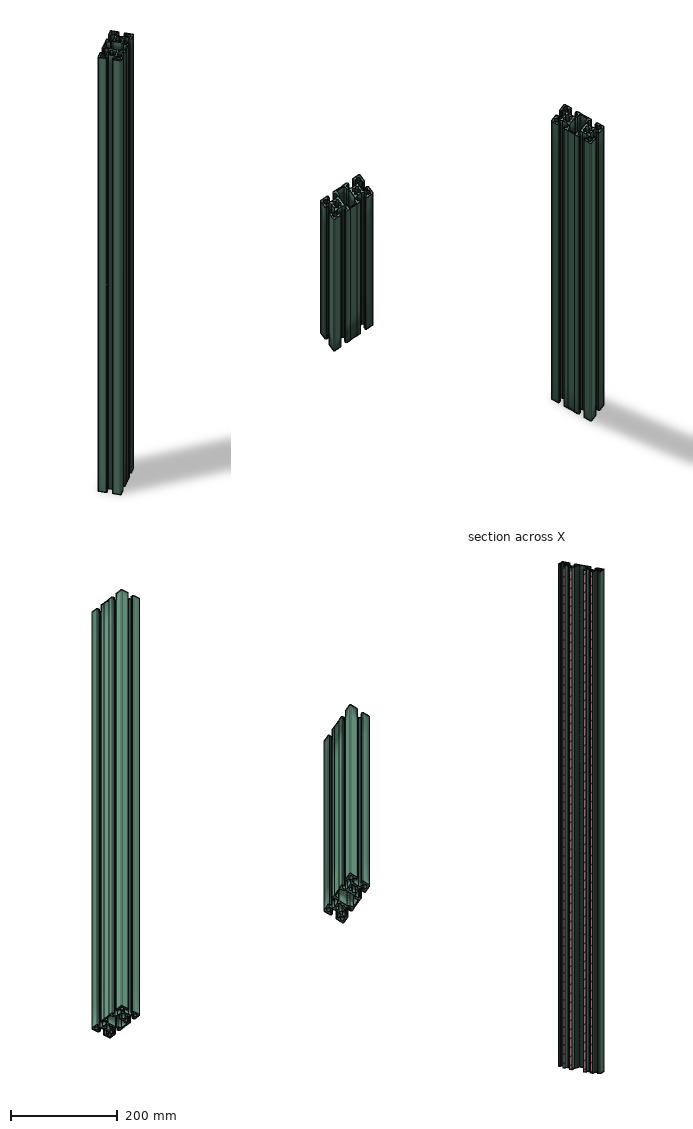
import cadquery as cq


length = 1000.0
width = 45.0
depth = 2 * width
corner_radius = 2.0
half_width = width / 2
half_depth = depth / 2
cell_offset = width / 2

mouth_half = 5.3
mouth_radius = 2.0
lip_hook_depth = 5.5
hook_base_half = 6.5
hook_base_depth = 3.0
undercut_half = 10.0
undercut_start = 4.5
undercut_end = 11.0
floor_half = 5.0
slot_depth = 13.0

recess_half = 7.5
recess_depth = 0.3

hollow_side = 7.0
hollow_radius = 2.0
hollow_inset = 6.8

bore_radius = 4.7
lobe_radius = 3.0
lobe_distance = 4.9
lobe_count = 4
first_lobe_angle = 45

cavity_corners = [(20.0, 8.0), (13.0, 9.0), (9.0, 12.0)]


def slot_cutter():
    """Slot cut into a face lying on y = 0, reaching toward -Y."""
    right_side = [
        (mouth_half, -lip_hook_depth),
        (hook_base_half, -hook_base_depth),
        (undercut_half, -undercut_start),
        (undercut_half, -undercut_end),
        (floor_half, -slot_depth),
    ]
    left_side = [(-x, y) for x, y in reversed(right_side)]
    rounding_end = mouth_half + mouth_radius
    return (
        cq.Workplane("XY")
        .moveTo(rounding_end, 0)
        .radiusArc((mouth_half, -mouth_radius), -mouth_radius)
        .polyline(right_side + left_side, includeCurrent=True)
        .lineTo(-mouth_half, -mouth_radius)
        .radiusArc((-rounding_end, 0), -mouth_radius)
        .close()
        .extrude(length)
    )


def place(cutter, angle, x, y):
    """Turn a cutter about Z, then move it to (x, y)."""
    return cutter.rotate((0, 0, 0), (0, 0, 1), angle).translate((x, y, 0))


def lobed_bore():
    lobes = (
        cq.Workplane("XY")
        .polarArray(lobe_distance, first_lobe_angle, 360, lobe_count)
        .circle(lobe_radius)
        .extrude(length)
    )
    return cq.Workplane("XY").circle(bore_radius).extrude(length).union(lobes)


def central_cavity():
    upper = cavity_corners + [(-x, y) for x, y in reversed(cavity_corners)]
    lower = [(-x, -y) for x, y in upper]
    return cq.Workplane("XY").polyline(upper + lower).close().extrude(length)


profile = cq.Workplane("XY").rect(width, depth).extrude(length).edges("|Z").fillet(corner_radius)

slot = slot_cutter()
for side in (1, -1):
    profile = profile.cut(place(slot, 90 - 90 * side, 0, side * half_depth))
    for cell in (1, -1):
        profile = profile.cut(place(slot, -90 * side, side * half_width, cell * cell_offset))

profile = profile.cut(
    cq.Workplane("XY")
    .pushPoints([(half_width, 0), (-half_width, 0)])
    .rect(2 * recess_depth, 2 * recess_half)
    .extrude(length)
)

hollow_x = half_width - hollow_inset
hollow_y = half_depth - hollow_inset
hollows = (
    cq.Workplane("XY")
    .rect(2 * hollow_x, 2 * hollow_y, forConstruction=True)
    .vertices()
    .rect(hollow_side, hollow_side)
    .extrude(length)
    .edges("|Z")
    .fillet(hollow_radius)
)
profile = profile.cut(hollows)

bore = lobed_bore()
for cell in (1, -1):
    profile = profile.cut(bore.translate((0, cell * cell_offset, 0)))

result = profile.cut(central_cavity())